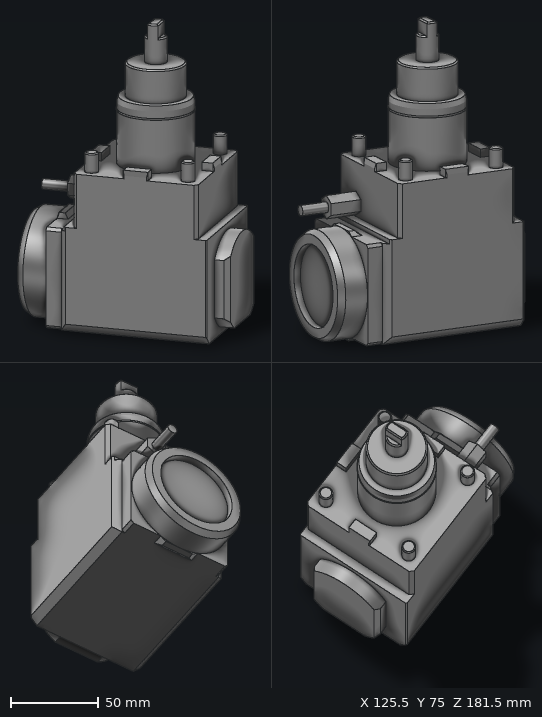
import cadquery as cq
import math


TOTAL_HEIGHT = 181.5
TOTAL_LENGTH = 125.5
WIDTH = 75.0
HALF_WIDTH = WIDTH / 2
LEFT_END = -73.3
RIGHT_END = LEFT_END + TOTAL_LENGTH

SHOULDER_Z = -32.3
BOTTOM_Z = -95.1
BODY_RIGHT = 43.0
UPPER_CORNER_CHAMFER = 2.2
RIGHT_CORNER_CHAMFER = 0.7
LEFT_CHAMFER_X = 3.8
SIDE_CHAMFER_Y = 4.5
BOTTOM_CHAMFER_Z = 5.0
STEP_X = -43.2

FLANGE_RIGHT = -46.0
FLANGE_LEFT = -55.4
FLANGE_TOP_Z = -35.0
FLANGE_HALF_WIDTH = HALF_WIDTH - SIDE_CHAMFER_Y
FLANGE_EDGE_CHAMFER = 1.8

CAP_AXIS_Z = (FLANGE_TOP_Z + BOTTOM_Z) / 2
CAP_RADIUS = 32.5
CAP_CHAMFER_X = 4.0
CAP_CHAMFER_R = 2.4
RECESS_DEPTH = 4.0
RECESS_RIM_RADIUS = 24.3
RECESS_FLOOR_RADIUS = 24.0

PAD_OUTER_HALF_WIDTH = 9.0
PAD_BASE_HALF_WIDTH = 12.7
PAD_OUTER_RIGHT = -51.5
PAD_BASE_RIGHT = -48.6

BOSS_RADIUS = 28.9
BOSS_HALF_WIDTH = 23.0
BOSS_BOTTOM_Z = -90.0
BOSS_CHAMFER_X = 3.5
BOSS_CHAMFER_Y = 2.0

FITTING_Y = 16.3
FITTING_Z = -24.3
HEX_ACROSS_FLATS = 12.2
HEX_LEFT = -56.6
PIPE_RADIUS = 3.0

SPINDLE_TOP = TOTAL_HEIGHT + CAP_AXIS_Z - CAP_RADIUS
COLLAR_RADIUS = 22.5
COLLAR_TOP = 40.0
COLLAR_CHAMFER_R = 0.9
COLLAR_CHAMFER_Z = 3.3
SEAL_Z = 32.1
SEAL_HEIGHT = 1.0
SEAL_BULGE = 0.27
NECK_RADIUS = 17.6
NECK_TOP = 60.0
SHAFT_RADIUS = 6.5
SHAFT_TOP = 75.7
TANG_THICKNESS = 6.5
SPINDLE_CHAMFER = 0.9

SCREW_OFFSET = 29.0
SCREW_RADIUS = 4.0
SCREW_TOP = 11.6
SCREW_CHAMFER = 0.7

KEY_WIDTH = 14.9
KEY_LENGTH = 7.3
KEY_HEIGHT = 4.9
KEY_CORNER_CHAMFER = 0.7
KEY_SLOPE_DEPTH = 0.7
KEY_SLOPE_HEIGHT = 3.3
KEY_ANGLES = (0, 180, 270)


def box(x0, x1, half_width, z0, z1):
    """Box symmetric about the XZ plane."""
    block = cq.Workplane("XY").box(x1 - x0, 2 * half_width, z1 - z0, centered=(False, True, False))
    return block.translate((x0, 0, z0))


def x_cylinder(x0, x1, radius, y, z):
    """Cylinder with its axis along X."""
    return cq.Workplane("YZ", origin=(x0, y, z)).circle(radius).extrude(x1 - x0)


def make_housing():
    upper = box(-HALF_WIDTH, HALF_WIDTH, HALF_WIDTH, SHOULDER_Z, 0)
    upper = upper.edges("|Z").chamfer(UPPER_CORNER_CHAMFER)

    lower = (
        cq.Workplane("YZ", origin=(FLANGE_RIGHT, 0, 0))
        .polyline([
            (-HALF_WIDTH, SHOULDER_Z),
            (-HALF_WIDTH, BOTTOM_Z + BOTTOM_CHAMFER_Z),
            (-FLANGE_HALF_WIDTH, BOTTOM_Z),
            (FLANGE_HALF_WIDTH, BOTTOM_Z),
            (HALF_WIDTH, BOTTOM_Z + BOTTOM_CHAMFER_Z),
            (HALF_WIDTH, SHOULDER_Z),
        ])
        .close()
        .extrude(BODY_RIGHT - FLANGE_RIGHT)
    )
    lower = lower.edges("|Z and >X").chamfer(RIGHT_CORNER_CHAMFER)

    footprint = (
        cq.Workplane("XY", origin=(0, 0, BOTTOM_Z))
        .polyline([
            (FLANGE_RIGHT, -FLANGE_HALF_WIDTH),
            (FLANGE_RIGHT + LEFT_CHAMFER_X, -HALF_WIDTH),
            (BODY_RIGHT, -HALF_WIDTH),
            (BODY_RIGHT, HALF_WIDTH),
            (FLANGE_RIGHT + LEFT_CHAMFER_X, HALF_WIDTH),
            (FLANGE_RIGHT, FLANGE_HALF_WIDTH),
        ])
        .close()
        .extrude(SHOULDER_Z - BOTTOM_Z)
    )
    step = box(FLANGE_RIGHT, STEP_X, HALF_WIDTH, FLANGE_TOP_Z, SHOULDER_Z)
    return upper.union(lower.intersect(footprint).cut(step))


def make_flange():
    flange = box(FLANGE_LEFT, FLANGE_RIGHT, FLANGE_HALF_WIDTH, BOTTOM_Z, FLANGE_TOP_Z)
    return flange.edges("|X").chamfer(FLANGE_EDGE_CHAMFER)


def make_cap():
    """Revolved cap, drawn as (X, radius) about its axis, with a dished front face."""
    return (
        cq.Workplane("XZ", origin=(0, 0, CAP_AXIS_Z))
        .polyline([
            (FLANGE_LEFT, 0),
            (FLANGE_LEFT, CAP_RADIUS),
            (LEFT_END + CAP_CHAMFER_X, CAP_RADIUS),
            (LEFT_END, CAP_RADIUS - CAP_CHAMFER_R),
            (LEFT_END, RECESS_RIM_RADIUS),
            (LEFT_END + RECESS_DEPTH, RECESS_FLOOR_RADIUS),
            (LEFT_END + RECESS_DEPTH, 0),
        ])
        .close()
        .revolve(360, (0, 0, 0), (1, 0, 0))
    )


def make_pads():
    """Pads tapering from the flange to the cap radius, mirrored about the cap axis."""
    pad_height = CAP_AXIS_Z + CAP_RADIUS - FLANGE_TOP_Z
    base_length = PAD_BASE_RIGHT - FLANGE_LEFT
    outer_length = PAD_OUTER_RIGHT - FLANGE_LEFT
    upper = (
        cq.Workplane("XY", origin=(FLANGE_LEFT, 0, FLANGE_TOP_Z))
        .center(base_length / 2, 0)
        .rect(base_length, 2 * PAD_BASE_HALF_WIDTH)
        .workplane(offset=pad_height)
        .center((outer_length - base_length) / 2, 0)
        .rect(outer_length, 2 * PAD_OUTER_HALF_WIDTH)
        .loft(ruled=True)
    )
    return upper.union(upper.mirror("XY", (0, 0, CAP_AXIS_Z)))


def make_boss():
    disc = x_cylinder(BODY_RIGHT, RIGHT_END, BOSS_RADIUS, 0, CAP_AXIS_Z)
    trim = box(BODY_RIGHT, RIGHT_END, BOSS_HALF_WIDTH, BOSS_BOTTOM_Z, CAP_AXIS_Z + BOSS_RADIUS)
    trim = trim.faces(">X").edges("|Z").chamfer(BOSS_CHAMFER_Y, BOSS_CHAMFER_X)
    return disc.intersect(trim)


def make_fitting():
    across_corners = HEX_ACROSS_FLATS / math.cos(math.pi / 6)
    hexagon = (
        cq.Workplane("YZ", origin=(HEX_LEFT, FITTING_Y, FITTING_Z))
        .transformed(rotate=(0, 0, 90))
        .polygon(6, across_corners)
        .extrude(-HALF_WIDTH - HEX_LEFT)
    )
    return hexagon.union(x_cylinder(LEFT_END, HEX_LEFT, PIPE_RADIUS, FITTING_Y, FITTING_Z))


def make_spindle():
    """Collar with a bulging seal ring, then neck, shaft and flat driving tang."""
    collar = cq.Workplane("XY").circle(COLLAR_RADIUS).extrude(COLLAR_TOP)
    collar = collar.faces(">Z").edges().chamfer(COLLAR_CHAMFER_Z, COLLAR_CHAMFER_R)
    seal = (
        cq.Workplane("XZ", origin=(0, 0, SEAL_Z))
        .moveTo(0, -SEAL_HEIGHT / 2)
        .lineTo(COLLAR_RADIUS, -SEAL_HEIGHT / 2)
        .threePointArc((COLLAR_RADIUS + SEAL_BULGE, 0), (COLLAR_RADIUS, SEAL_HEIGHT / 2))
        .lineTo(0, SEAL_HEIGHT / 2)
        .close()
        .revolve(360, (0, 0, 0), (0, 1, 0))
    )
    neck = cq.Workplane("XY").circle(NECK_RADIUS).extrude(NECK_TOP)
    neck = neck.faces(">Z").edges().chamfer(SPINDLE_CHAMFER)
    shaft = cq.Workplane("XY").circle(SHAFT_RADIUS).extrude(SHAFT_TOP)
    shaft = shaft.faces(">Z").edges().chamfer(SPINDLE_CHAMFER)
    tang = cq.Workplane("XY").circle(SHAFT_RADIUS).extrude(SPINDLE_TOP)
    tang = tang.intersect(box(-TANG_THICKNESS / 2, TANG_THICKNESS / 2, SHAFT_RADIUS, 0, SPINDLE_TOP))
    tang = tang.faces(">Z").edges().chamfer(SPINDLE_CHAMFER)
    return collar.union(seal).union(neck).union(shaft).union(tang)


def make_screws():
    return (
        cq.Workplane("XY")
        .rect(2 * SCREW_OFFSET, 2 * SCREW_OFFSET, forConstruction=True)
        .vertices()
        .circle(SCREW_RADIUS)
        .extrude(SCREW_TOP)
        .faces(">Z")
        .edges()
        .chamfer(SCREW_CHAMFER)
    )


def make_key(angle):
    """Key on the +X edge of the mounting face, turned about the spindle axis."""
    key = box(HALF_WIDTH - KEY_LENGTH, HALF_WIDTH, KEY_WIDTH / 2, 0, KEY_HEIGHT)
    key = key.edges("|Z and >X").chamfer(KEY_CORNER_CHAMFER)
    slope = (
        cq.Workplane("XZ")
        .polyline([
            (HALF_WIDTH, KEY_HEIGHT - KEY_SLOPE_HEIGHT),
            (HALF_WIDTH, KEY_HEIGHT),
            (HALF_WIDTH - KEY_SLOPE_DEPTH, KEY_HEIGHT),
        ])
        .close()
        .extrude(KEY_WIDTH / 2, both=True)
    )
    return key.cut(slope).rotate((0, 0, 0), (0, 0, 1), angle)


result = (
    make_housing()
    .union(make_flange())
    .union(make_cap())
    .union(make_pads())
    .union(make_boss())
    .union(make_fitting())
    .union(make_spindle())
    .union(make_screws())
)
for key_angle in KEY_ANGLES:
    result = result.union(make_key(key_angle))